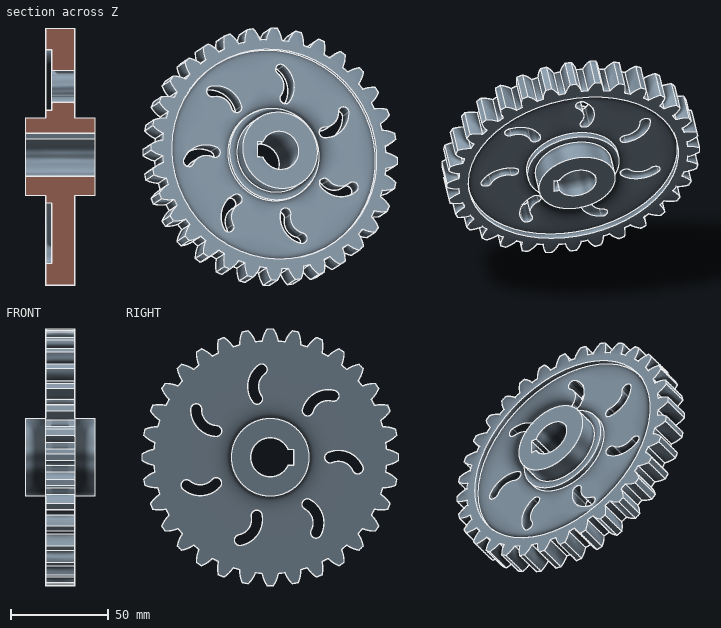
import cadquery as cq
import math

full_turn = 360.0

hub_length = 36.0
rim_width = 15.0
recess_depth = 3.0

hub_radius = 20.0
bore_radius = 10.0
recess_inner_radius = 24.0
recess_outer_radius = 55.0

key_width = 8.0
key_reach = 12.0

tooth_count = 32
tip_radius = 66.135
root_radius = 60.0
tip_half_width = 1.6
middle_half_width = 3.25
root_half_width = 4.15
tooth_sink = 2.0

slot_count = 7
slot_half_width = 2.75
slot_inner_end_radius = 30.85
slot_inner_end_angle = 154.08
slot_outer_end_radius = 45.43
slot_outer_end_angle = 146.99
slot_bow = 3.14


def centred_plane(length):
    """YZ workplane placed so that an extrusion of this length straddles the origin."""
    return cq.Workplane("YZ", origin=(-length / 2, 0, 0))


def axial_cylinder(radius, length):
    """Cylinder on the X axis, centred on the origin."""
    return centred_plane(length).circle(radius).extrude(length)


def make_tooth():
    """One tooth on the +Z side, with bowed flanks and a flat tip."""
    foot_radius = root_radius - tooth_sink
    middle_radius = (tip_radius + root_radius) / 2
    return (
        centred_plane(rim_width)
        .moveTo(-root_half_width, foot_radius)
        .lineTo(-root_half_width, root_radius)
        .threePointArc((-middle_half_width, middle_radius), (-tip_half_width, tip_radius))
        .lineTo(tip_half_width, tip_radius)
        .threePointArc((middle_half_width, middle_radius), (root_half_width, root_radius))
        .lineTo(root_half_width, foot_radius)
        .close()
        .extrude(rim_width)
    )


def make_gear_blank():
    """Toothed disc with the hub through its middle."""
    blank = axial_cylinder(root_radius, rim_width)
    tooth = make_tooth()
    for index in range(tooth_count):
        turn = index * full_turn / tooth_count
        blank = blank.union(tooth.rotate((0, 0, 0), (1, 0, 0), turn))
    return blank.union(axial_cylinder(hub_radius, hub_length))


def make_recess():
    """Ring-shaped recess in the -X face of the disc."""
    return (
        cq.Workplane("YZ", origin=(-rim_width / 2, 0, 0))
        .circle(recess_outer_radius)
        .circle(recess_inner_radius)
        .extrude(recess_depth)
    )


def make_keyway():
    """Rectangular keyway running the full length of the hub."""
    return cq.Workplane("XY").box(hub_length, key_reach, key_width).translate((0, key_reach / 2, 0))


def polar_point(radius, degrees):
    """Point in the YZ plane, with the angle measured from +Y towards +Z."""
    angle = math.radians(degrees)
    return cq.Vector(radius * math.cos(angle), radius * math.sin(angle))


def make_slot():
    """Slot of even width along an arc, with full-round ends."""
    inner_end = polar_point(slot_inner_end_radius, slot_inner_end_angle)
    outer_end = polar_point(slot_outer_end_radius, slot_outer_end_angle)
    along = (outer_end - inner_end).normalized()
    bow_direction = cq.Vector(-along.y, along.x)
    bow_point = (inner_end + outer_end) * 0.5 + bow_direction * slot_bow
    return (
        centred_plane(rim_width)
        .moveTo(inner_end.x, inner_end.y)
        .threePointArc((bow_point.x, bow_point.y), (outer_end.x, outer_end.y))
        .wire()
        .offset2D(slot_half_width)
        .extrude(rim_width)
    )


def make_gear():
    """Finished gear: blank, recess, bore, keyway and lightening slots."""
    gear = make_gear_blank()
    gear = gear.cut(make_recess())
    gear = gear.cut(axial_cylinder(bore_radius, hub_length))
    gear = gear.cut(make_keyway())
    slot = make_slot()
    for index in range(slot_count):
        turn = index * full_turn / slot_count
        gear = gear.cut(slot.rotate((0, 0, 0), (1, 0, 0), turn))
    return gear


result = make_gear()